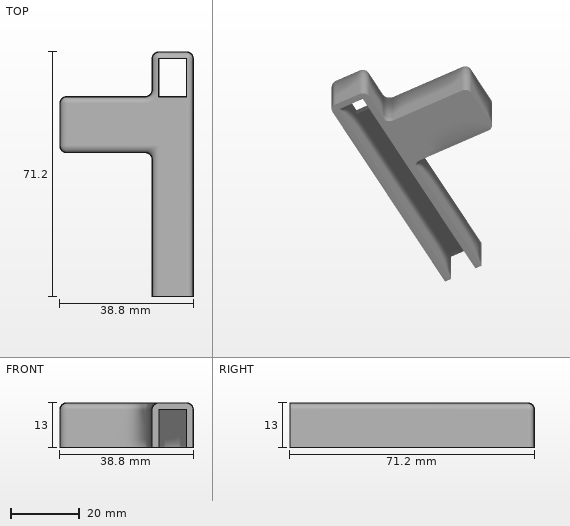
import cadquery as cq

overall_width = 38.8
rail_length = 71.15
height = 13.0
wall = 2.0
channel_width = 8.0
window_length = 11.0
branch_width = 16.3
corner_radius = 2.0

rail_width = channel_width + 2 * wall
channel_height = height - wall
channel_length = rail_length - wall
branch_back = channel_length - window_length
branch_front = branch_back - branch_width

open_end_right = (0, 0)
closed_end_right = (0, rail_length)
closed_end_left = (-rail_width, rail_length)
back_inner_corner = (-rail_width, branch_back)
branch_tip_back = (-overall_width, branch_back)
branch_tip_front = (-overall_width, branch_front)
front_inner_corner = (-rail_width, branch_front)
open_end_left = (-rail_width, 0)


def corner_edges(body, corner, reach):
    """Edges whose centres lie within reach of a vertical line through a plan corner."""
    x, y = corner
    low = (x - reach, y - reach, 0)
    high = (x + reach, y + reach, height)
    return body.edges(cq.selectors.BoxSelector(low, high))


def make_block():
    """Solid T with sharp edges."""
    outline = [
        open_end_right,
        closed_end_right,
        closed_end_left,
        back_inner_corner,
        branch_tip_back,
        branch_tip_front,
        front_inner_corner,
        open_end_left,
    ]
    return cq.Workplane("XY").polyline(outline).close().extrude(height)


def round_block(body):
    """Round the upright corners and the top rim, leaving the open rail end sharp."""
    corners_before_rim = [
        closed_end_right,
        closed_end_left,
        back_inner_corner,
        branch_tip_back,
        branch_tip_front,
    ]
    for corner in corners_before_rim:
        body = corner_edges(body, corner, wall / 2).edges("|Z").fillet(corner_radius)
    body = body.faces(">Z").edges("not <Y").fillet(corner_radius)

    return corner_edges(body, front_inner_corner, corner_radius).fillet(corner_radius)


def rail_cutter(start_y, length, depth):
    """Box as wide as the channel, standing on the underside of the rail."""
    box = cq.Workplane("XY").box(channel_width, length, depth, centered=False)
    return box.translate((-wall - channel_width, start_y, 0))


channel = rail_cutter(0, channel_length, channel_height)
window = rail_cutter(branch_back, window_length, height)

result = round_block(make_block()).cut(channel).cut(window)